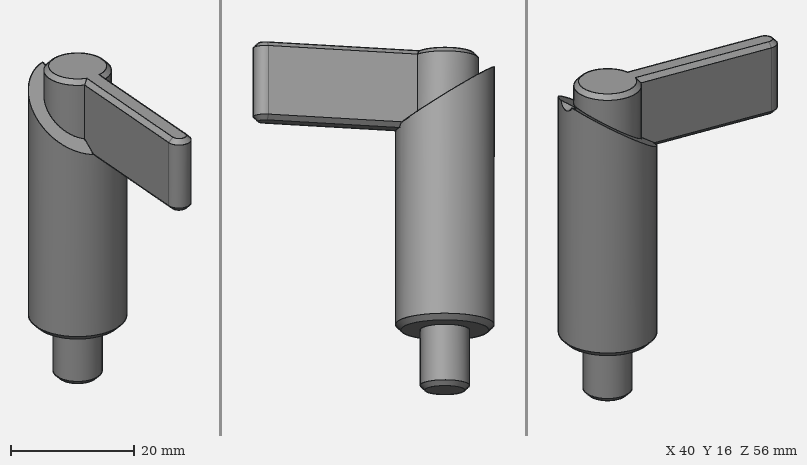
import cadquery as cq
import math

total_height = 56.0
sleeve_diameter = 16.0
sleeve_bottom = 10.0
sleeve_peak = 54.0
sleeve_slope = 33.0
sleeve_chamfer = 0.9

pin_diameter = 8.0
pin_chamfer = 0.8

head_diameter = 11.0
lever_reach = 32.0
lever_thickness = 4.0
lever_height = 13.0
lever_chamfer = 0.8

notch_radius = 1.8
notch_bottom = 52.8

sleeve_radius = sleeve_diameter / 2
lever_bottom = total_height - lever_height


def make_lever_pin():
    """Round head with a radial lever, carried on a slimmer pin."""
    head = cq.Workplane("XY", origin=(0, 0, lever_bottom)).circle(head_diameter / 2).extrude(lever_height)
    tip_radius = lever_thickness / 2
    tip_center = lever_reach - tip_radius
    arm = (
        cq.Workplane("XY", origin=(0, 0, lever_bottom))
        .moveTo(0, -tip_radius)
        .lineTo(tip_center, -tip_radius)
        .threePointArc((lever_reach, 0), (tip_center, tip_radius))
        .lineTo(0, tip_radius)
        .close()
        .extrude(lever_height)
    )
    handle = head.union(arm).faces("<Z or >Z").edges().chamfer(lever_chamfer)
    pin = (
        cq.Workplane("XY")
        .circle(pin_diameter / 2)
        .extrude(lever_bottom + lever_height / 2)
        .faces("<Z")
        .edges()
        .chamfer(pin_chamfer)
    )
    return handle.union(pin)


def make_slope_cutter():
    """Wedge above the sloping top face of the sleeve."""
    slope_drop = sleeve_diameter * math.tan(math.radians(sleeve_slope))
    return (
        cq.Workplane("XZ")
        .polyline([
            (-sleeve_radius, sleeve_peak),
            (sleeve_radius, sleeve_peak - slope_drop),
            (sleeve_radius, sleeve_peak),
        ])
        .close()
        .extrude(sleeve_radius, both=True)
    )


def make_notch_cutter():
    """Round notch along X, in the high edge of the sleeve."""
    return (
        cq.Workplane("YZ", origin=(-sleeve_radius, 0, notch_bottom + notch_radius))
        .circle(notch_radius)
        .extrude(sleeve_radius)
    )


def make_sleeve(lever_pin):
    """Slant-topped sleeve whose bore and slot match the lever pin."""
    blank = (
        cq.Workplane("XY", origin=(0, 0, sleeve_bottom))
        .circle(sleeve_radius)
        .extrude(sleeve_peak - sleeve_bottom)
        .faces("<Z")
        .edges()
        .chamfer(sleeve_chamfer)
    )
    return blank.cut(make_slope_cutter()).cut(make_notch_cutter()).cut(lever_pin)


lever_pin = make_lever_pin()
sleeve = make_sleeve(lever_pin)

result = cq.Compound.makeCompound([lever_pin.val(), sleeve.val()])